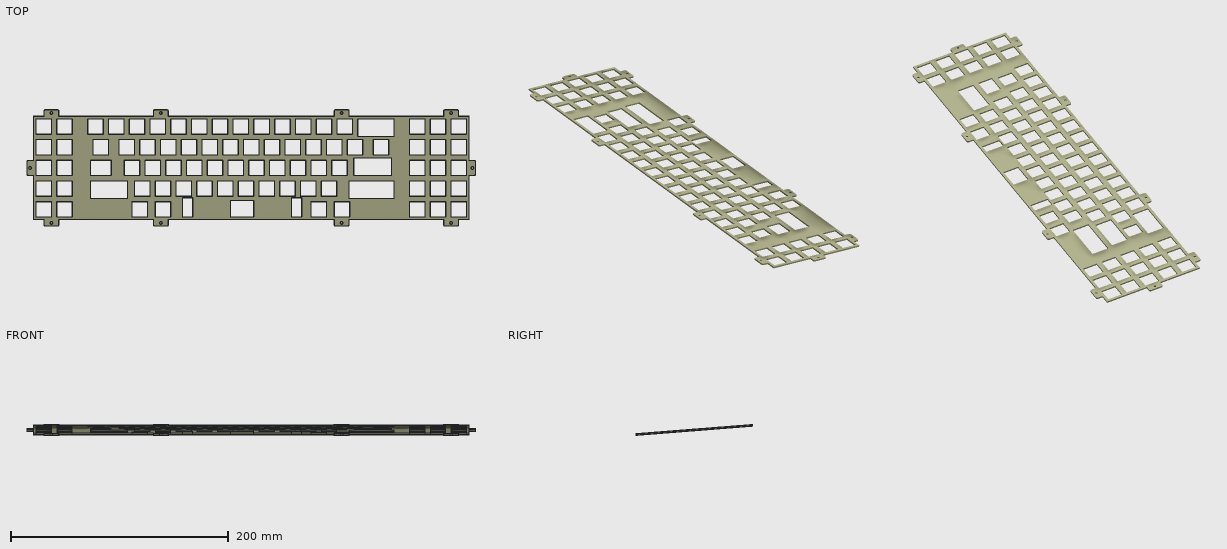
import cadquery as cq


KEY_PITCH = 19.05
COLUMN_UNITS = 21
ROW_COUNT = 5
PLATE_LENGTH = COLUMN_UNITS * KEY_PITCH
PLATE_WIDTH = ROW_COUNT * KEY_PITCH
PLATE_THICKNESS = 1.5
TILT_ANGLE = 4.5

SWITCH_SIZE = 14.0

TAB_REACH = 6.0
TAB_WIDTH = 13.8
TAB_CORNER_RADIUS = 1.5
TAB_HOLE_DIAMETER = 2.2
TAB_HOLE_OFFSET = 3.0
TAB_COLUMN_DISTANCES = (83.0, 183.5)

STABILISER_HALF_LENGTH = 17.3
STABILISER_OVERHANG = 2.0
STABILISER_REACH = (STABILISER_HALF_LENGTH - SWITCH_SIZE / 2) / KEY_PITCH

ENTER_CENTRE = 16.35
LEFT_SHIFT_CENTRE = 3.625
RIGHT_SHIFT_CENTRE = 16.125

BACKSPACE_CENTRES = (16.0, 17.0)
CAPS_LOCK_CENTRES = (3.125, 3.375)
ENTER_CENTRES = (ENTER_CENTRE - STABILISER_REACH, ENTER_CENTRE + STABILISER_REACH)
LEFT_SHIFT_CENTRES = (3.125, LEFT_SHIFT_CENTRE + STABILISER_REACH)
RIGHT_SHIFT_CENTRES = (RIGHT_SHIFT_CENTRE - STABILISER_REACH, 17.0)
SPACE_CENTRES = (9.875, 10.25)

SPACE_MIDDLE = sum(SPACE_CENTRES) / len(SPACE_CENTRES)
SPACE_TOP_OVERHANG = 1.0
SPACE_SLOT_DISTANCE = 50.0
SPACE_SLOT_WIDTH = 9.2
SPACE_SLOT_OVERHANG = 3.5


def run_of_keys(first, count):
    return [first + index for index in range(count)]


SIDE_BLOCK_KEYS = run_of_keys(0.5, 2) + run_of_keys(18.5, 3)
SINGLE_KEYS_BY_ROW = (
    run_of_keys(3.0, 13),
    [3.25] + run_of_keys(4.5, 12) + [16.75],
    run_of_keys(4.75, 11),
    run_of_keys(5.25, 10),
    [5.125, 6.25, 13.75, 14.875],
)


def key_x(units):
    return units * KEY_PITCH - PLATE_LENGTH / 2


def row_y(row):
    return PLATE_WIDTH / 2 - (row + 0.5) * KEY_PITCH


def opening(x_min, x_max, y_min, y_max):
    size_x = x_max - x_min
    size_y = y_max - y_min
    block = cq.Workplane("XY").box(size_x, size_y, PLATE_THICKNESS, centered=False)
    return block.translate((x_min, y_min, 0))


def key_opening(row, first_centre, last_centre, above=0.0, below=0.0):
    half = SWITCH_SIZE / 2
    return opening(
        key_x(first_centre) - half,
        key_x(last_centre) + half,
        row_y(row) - half - below,
        row_y(row) + half + above,
    )


def single_key_openings():
    openings = []
    for row, keys in enumerate(SINGLE_KEYS_BY_ROW):
        for centre in SIDE_BLOCK_KEYS + keys:
            openings.append(key_opening(row, centre, centre))
    return openings


def wide_key_openings():
    return [
        key_opening(0, *BACKSPACE_CENTRES, below=STABILISER_OVERHANG),
        key_opening(2, *CAPS_LOCK_CENTRES),
        key_opening(2, *ENTER_CENTRES, above=STABILISER_OVERHANG),
        key_opening(3, *LEFT_SHIFT_CENTRES, below=STABILISER_OVERHANG),
        key_opening(3, *RIGHT_SHIFT_CENTRES, below=STABILISER_OVERHANG),
    ]


def space_bar_openings():
    row = ROW_COUNT - 1
    openings = [key_opening(row, *SPACE_CENTRES, above=SPACE_TOP_OVERHANG)]
    y_min = row_y(row) - SWITCH_SIZE / 2
    y_max = row_y(row) + SWITCH_SIZE / 2 + SPACE_SLOT_OVERHANG
    for side in (-1, 1):
        x = key_x(SPACE_MIDDLE) + side * SPACE_SLOT_DISTANCE
        openings.append(opening(x - SPACE_SLOT_WIDTH / 2, x + SPACE_SLOT_WIDTH / 2, y_min, y_max))
    return openings


def screw_tab(x, y, outward_angle):
    """Tab reaching out from the plate edge at (x, y), with rounded outer corners."""
    tab = (
        cq.Workplane("XY")
        .box(TAB_REACH, TAB_WIDTH, PLATE_THICKNESS, centered=(False, True, False))
        .edges("|Z and >X")
        .fillet(TAB_CORNER_RADIUS)
    )
    hole = (
        cq.Workplane("XY")
        .center(TAB_HOLE_OFFSET, 0)
        .circle(TAB_HOLE_DIAMETER / 2)
        .extrude(PLATE_THICKNESS)
    )
    return tab.cut(hole).rotate((0, 0, 0), (0, 0, 1), outward_angle).translate((x, y, 0))


def screw_tabs():
    tabs = [
        screw_tab(PLATE_LENGTH / 2, 0, 0),
        screw_tab(-PLATE_LENGTH / 2, 0, 180),
    ]
    for distance in TAB_COLUMN_DISTANCES:
        for x in (-distance, distance):
            tabs.append(screw_tab(x, PLATE_WIDTH / 2, 90))
            tabs.append(screw_tab(x, -PLATE_WIDTH / 2, -90))
    return tabs


def build_plate():
    plate = cq.Workplane("XY").box(
        PLATE_LENGTH, PLATE_WIDTH, PLATE_THICKNESS, centered=(True, True, False)
    )
    for tab in screw_tabs():
        plate = plate.union(tab)
    openings = single_key_openings() + wide_key_openings() + space_bar_openings()
    cutter = cq.Compound.makeCompound([item.val() for item in openings])
    return plate.cut(cq.Workplane(cutter))


result = build_plate().rotate((0, 0, 0), (1, 0, 0), TILT_ANGLE)